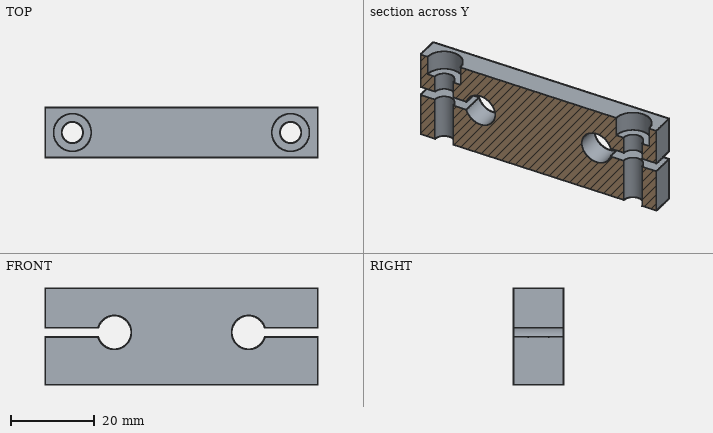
import cadquery as cq

length = 65.0
width = 12.0
height = 23.0

bore_diameter = 8.0
bore_spacing = 32.0
bore_height = 12.5
slit_height = 2.15

screw_spacing = 52.0
screw_diameter = 5.0
head_diameter = 9.0
head_depth = 5.0


def clamp_cutter(side):
    """Bore along Y with its slit; side is -1 for the left end, +1 for the right."""
    bore_x = side * bore_spacing / 2
    end_x = side * length / 2
    bore = (
        cq.Workplane("XZ")
        .center(bore_x, bore_height)
        .circle(bore_diameter / 2)
        .extrude(width / 2, both=True)
    )
    slit = cq.Workplane("XY").box(abs(end_x - bore_x), width, slit_height)
    slit = slit.translate(((bore_x + end_x) / 2, 0, bore_height))
    return bore.union(slit)


block = cq.Workplane("XY").box(length, width, height, centered=(True, True, False))

for end_side in (-1, 1):
    block = block.cut(clamp_cutter(end_side))

result = (
    block.faces(">Z")
    .workplane(origin=(0, 0, height))
    .pushPoints([(-screw_spacing / 2, 0), (screw_spacing / 2, 0)])
    .cboreHole(screw_diameter, head_diameter, head_depth)
)